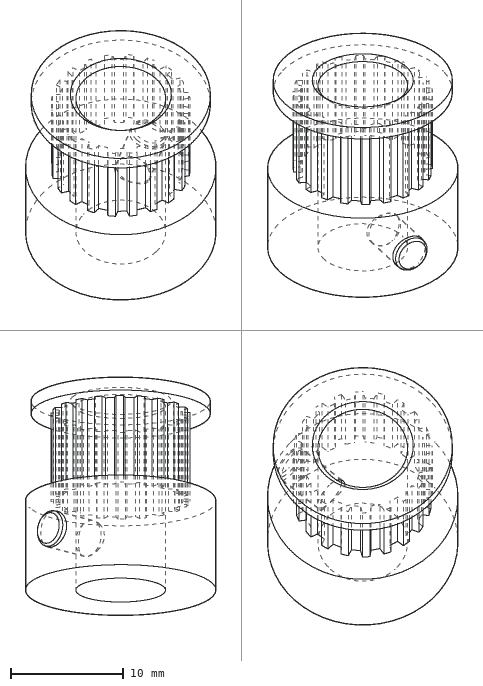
import cadquery as cq
import math

overall_height = 17.5
hub_diameter = 17.0
hub_height = 8.3
flange_diameter = 16.0
flange_height = 1.2
rim_height = overall_height - hub_height - flange_height
bore_diameter = 8.0
bore_chamfer = 0.5

tooth_count = 20
tooth_pitch_angle = 360.0 / tooth_count
tip_diameter = 12.4
tooth_tip_width = 0.68
groove_floor_distance = 5.55
groove_floor_width = 0.8

screw_diameter = 3.24
screw_hole_diameter = 3.3
screw_height = 4.0
screw_end_y = overall_height - hub_diameter / 2
screw_start_y = bore_diameter / 2
screw_chamfer = 0.23


def make_belt_groove():
    """Prism of one tooth gap, centred on the +X axis and as tall as the rim."""
    tip_radius = tip_diameter / 2
    half_pitch = math.radians(tooth_pitch_angle / 2)
    half_tooth = math.asin(tooth_tip_width / tip_diameter)
    mouth_angle = half_pitch - half_tooth
    mouth_x = tip_radius * math.cos(mouth_angle)
    mouth_y = tip_radius * math.sin(mouth_angle)
    floor_y = groove_floor_width / 2
    outer_x = hub_diameter / 2
    side_slope = (mouth_y - floor_y) / (mouth_x - groove_floor_distance)
    outer_y = floor_y + side_slope * (outer_x - groove_floor_distance)
    return (
        cq.Workplane("XY", origin=(0, 0, hub_height))
        .polyline([
            (groove_floor_distance, -floor_y),
            (outer_x, -outer_y),
            (outer_x, outer_y),
            (groove_floor_distance, floor_y),
        ])
        .close()
        .extrude(rim_height)
    )


def make_toothed_rim():
    rim = cq.Workplane("XY", origin=(0, 0, hub_height)).circle(tip_diameter / 2).extrude(rim_height)
    groove = make_belt_groove()
    for index in range(tooth_count):
        rim = rim.cut(groove.rotate((0, 0, 0), (0, 0, 1), index * tooth_pitch_angle))
    return rim


def make_radial_cylinder(diameter, start_y, end_y):
    """Cylinder along +Y at the height of the set screw."""
    return (
        cq.Workplane("XZ", origin=(0, start_y, screw_height))
        .circle(diameter / 2)
        .extrude(start_y - end_y)
    )


def make_pulley():
    hub = cq.Workplane("XY").circle(hub_diameter / 2).extrude(hub_height)
    flange = (
        cq.Workplane("XY", origin=(0, 0, overall_height - flange_height))
        .circle(flange_diameter / 2)
        .extrude(flange_height)
    )
    bore = cq.Workplane("XY").circle(bore_diameter / 2).extrude(overall_height)
    pulley = hub.union(make_toothed_rim()).union(flange).cut(bore)
    pulley = pulley.faces(">Z").edges(cq.selectors.RadiusNthSelector(0)).chamfer(bore_chamfer)
    return pulley.cut(make_radial_cylinder(screw_hole_diameter, 0, screw_end_y))


def make_set_screw():
    screw = make_radial_cylinder(screw_diameter, screw_start_y, screw_end_y)
    return screw.faces(">Y").chamfer(screw_chamfer)


pulley = make_pulley()
set_screw = make_set_screw()

result = cq.Compound.makeCompound([pulley.val(), set_screw.val()])